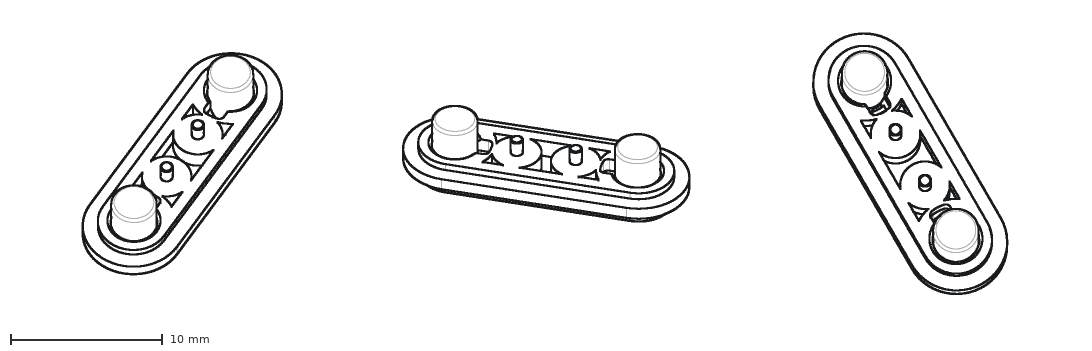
import cadquery as cq
import math

flange_length = 19.25
flange_width = 6.7
flange_margin = 1.0
body_length = flange_length - 2 * flange_margin
body_width = flange_width - 2 * flange_margin
flange_bottom = 1.15
flange_top = 2.0
body_top = 2.5
body_edge_fillet = 0.2

post_spacing = 12.4
post_radius = 1.5
post_top = 4.5
post_edge_fillet = 0.2

slope_angle = 45.0

well_mouth_radius = 1.75
well_gap_radius = 1.54

notch_half_width = 0.73
notch_reach = 2.46
notch_corner_radius = 0.35
notch_wall_depth = 0.96
upper_slope_depth = 0.27
lower_slope_depth = 0.25
step_width = 0.37

pin_spacing = 4.0
pin_radius = 0.4
pin_top = 3.6
pin_edge_chamfer = 0.05
pad_radius = 1.64
recess_width = 3.08
recess_depth = 1.25
well_wall_radius = 2.73

post_centres = [(0, -post_spacing / 2), (0, post_spacing / 2)]
pin_centres = [(0, -pin_spacing / 2), (0, pin_spacing / 2)]


def stadium(length, width, bottom, top):
    return cq.Workplane("XY", origin=(0, 0, bottom)).slot2D(length, width, 90).extrude(top - bottom)


def cylinders(centres, radius, bottom, top):
    return cq.Workplane("XY", origin=(0, 0, bottom)).pushPoints(centres).circle(radius).extrude(top - bottom)


def notch_outline(half_width, reach, top):
    """Outline from the post axis toward -Y, with an end curved about that axis."""
    side_y = -math.sqrt(reach**2 - half_width**2)
    return (
        cq.Workplane("XY", origin=(0, 0, top))
        .moveTo(-half_width, 0)
        .lineTo(-half_width, side_y)
        .threePointArc((0, -reach), (half_width, side_y))
        .lineTo(half_width, 0)
        .close()
    )


def notch():
    slope_top = body_top - notch_wall_depth
    step_z = slope_top - upper_slope_depth
    upper = notch_outline(notch_half_width, notch_reach, step_z).extrude(body_top - step_z)
    upper = upper.edges("|Z and (not >Y)").fillet(notch_corner_radius)
    upper = upper.faces("<Z").edges("not >Y").chamfer(upper_slope_depth)
    lower_half_width = notch_half_width - upper_slope_depth
    lower_reach = notch_reach - upper_slope_depth - step_width
    lower = notch_outline(lower_half_width, lower_reach, step_z)
    lower = lower.extrude(-lower_slope_depth, taper=slope_angle)
    return upper.union(lower)


def post_well():
    """Everything removed around the post at the +Y end."""
    mouth_depth = well_mouth_radius - well_gap_radius
    gap_depth = notch_wall_depth + upper_slope_depth + lower_slope_depth
    top = cq.Workplane("XY", origin=(0, 0, body_top))
    mouth = top.circle(well_mouth_radius).extrude(-mouth_depth, taper=slope_angle)
    gap = top.circle(well_gap_radius).extrude(-gap_depth)
    return mouth.union(gap).union(notch()).translate((0, post_spacing / 2, 0))


def pad_recess():
    """Rectangular recess minus the round pads and the solid rings around the posts."""
    top = cq.Workplane("XY", origin=(0, 0, body_top))
    recess = top.rect(recess_width, post_spacing).extrude(-recess_depth)
    recess = recess.cut(cylinders(pin_centres, pad_radius, 0, body_top))
    return recess.cut(cylinders(post_centres, well_wall_radius, 0, body_top))


body = stadium(body_length, body_width, 0, body_top).faces("<Z").edges().fillet(body_edge_fillet)
body = body.union(stadium(flange_length, flange_width, flange_bottom, flange_top))
body = body.cut(pad_recess())
body = body.cut(post_well()).cut(post_well().rotate((0, 0, 0), (0, 0, 1), 180))

posts = cylinders(post_centres, post_radius, 0, post_top).faces(">Z").edges().fillet(post_edge_fillet)
pins = cylinders(pin_centres, pin_radius, 0, pin_top).faces(">Z").edges().chamfer(pin_edge_chamfer)
result = body.union(posts).union(pins)